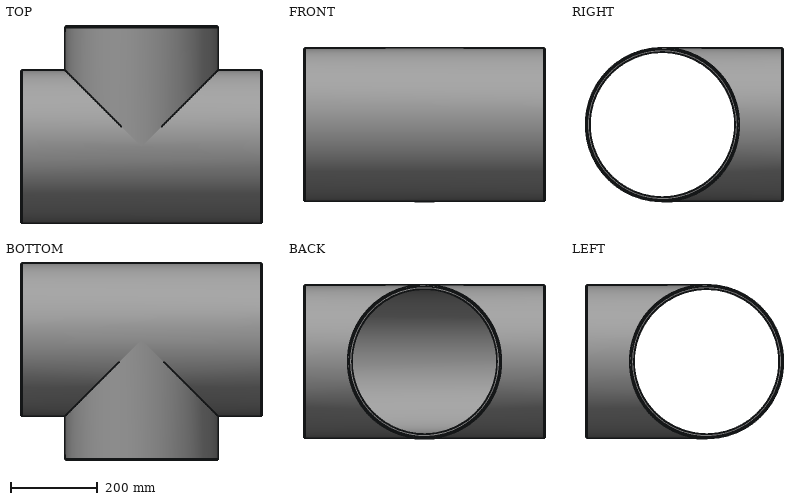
import cadquery as cq

run_length = 559.0
outer_diameter = 355.5
wall = 10.0
bevel = 4.0

half_run = run_length / 2
branch_length = half_run
outer_radius = outer_diameter / 2
bore_radius = outer_radius - wall
land_radius = outer_radius - bevel


def run_body():
    """Solid run cylinder with both ends beveled, revolved about X."""
    return (
        cq.Workplane("XY")
        .moveTo(-half_run, 0)
        .lineTo(-half_run, land_radius)
        .lineTo(-half_run + bevel, outer_radius)
        .lineTo(half_run - bevel, outer_radius)
        .lineTo(half_run, land_radius)
        .lineTo(half_run, 0)
        .close()
        .revolve(360, (0, 0), (1, 0))
    )


def branch_body():
    """Solid branch from the run axis, beveled at its open end, revolved about Y."""
    return (
        cq.Workplane("XY")
        .lineTo(outer_radius, 0)
        .lineTo(outer_radius, branch_length - bevel)
        .lineTo(land_radius, branch_length)
        .lineTo(0, branch_length)
        .close()
        .revolve(360, (0, 0), (0, 1))
    )


def bores():
    """Through bore of the run joined with the bore of the branch."""
    run_bore = cq.Workplane("YZ").circle(bore_radius).extrude(half_run, both=True)
    branch_bore = cq.Workplane("XZ").circle(bore_radius).extrude(-branch_length)
    return run_bore.union(branch_bore)


result = run_body().union(branch_body()).cut(bores())